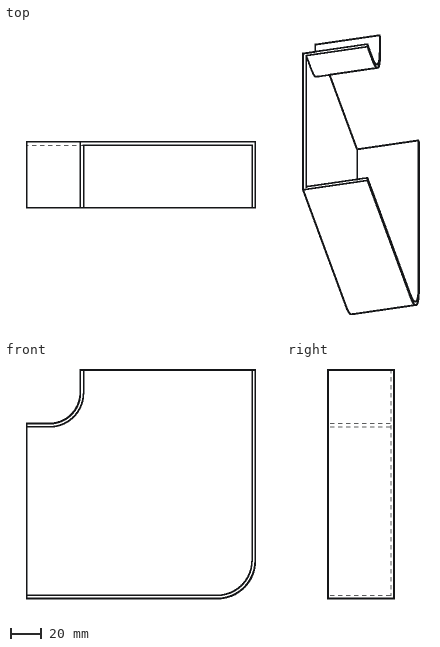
import cadquery as cq

side = 149.4
depth = 43.2
wall = 2.2
notch = 35.0
notch_radius = 20.0
corner_radius = 25.0


def elbow_prism(inset, length):
    """Elbow profile in XZ, extruded from y = 0 towards +Y.

    The top-left corner is notched and the bottom-right corner is rounded. The inset moves
    the walled edges inwards; the left and top ends stay where they are.
    """
    right = side - inset
    bottom = inset
    corner_round = corner_radius - inset
    notch_wall = notch + inset
    notch_floor = side - notch_wall
    notch_round = notch_radius + inset
    profile = (
        cq.Workplane("XZ")
        .moveTo(0, bottom)
        .lineTo(right - corner_round, bottom)
        .radiusArc((right, bottom + corner_round), -corner_round)
        .lineTo(right, side)
        .lineTo(notch_wall, side)
        .lineTo(notch_wall, notch_floor + notch_round)
        .radiusArc((notch_wall - notch_round, notch_floor), notch_round)
        .lineTo(0, notch_floor)
        .close()
    )
    return profile.extrude(-length)


body = elbow_prism(0, depth)

channel = elbow_prism(wall, depth - wall)

result = body.cut(channel)